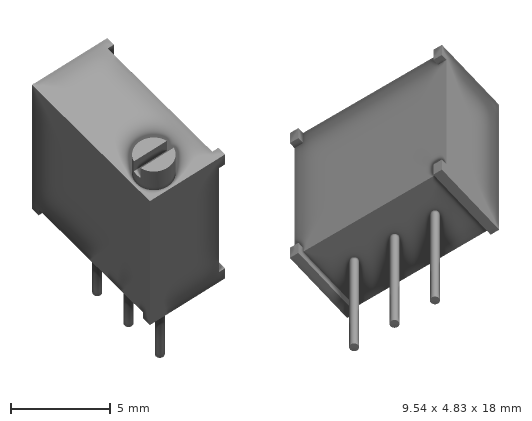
import cadquery as cq

width = 9.54
depth = 4.83
total_height = 17.96
pin_length = 6.43
screw_height = 1.5
housing_height = total_height - pin_length - screw_height
housing_top = total_height - screw_height

standoff_width = 0.54
foot_height = 0.48
pad_depth = 0.4
pad_height = 0.8

screw_diameter = 2.2
screw_x = 3.48
screw_front_distance = 1.28
screw_y = screw_front_distance - depth / 2
slot_width = 0.55
slot_depth = 0.79

pin_diameter = 0.5
pin_pitch = 2.53

recess_width = width - 2 * standoff_width


def block(size_x, size_y, size_z, center_y, bottom_z):
    """Box centred on X, placed by its middle in Y and its underside in Z."""
    return (
        cq.Workplane("XY")
        .box(size_x, size_y, size_z, centered=(True, True, False))
        .translate((0, center_y, bottom_z))
    )


def make_housing():
    """Box with two feet below and four corner pads at the rear."""
    housing = block(width, depth, housing_height, 0, pin_length)
    underside_recess = block(recess_width, depth, foot_height, 0, pin_length)
    rear_y = (depth - pad_depth) / 2
    rear_upright = block(recess_width, pad_depth, housing_height, rear_y, pin_length)
    rear_crosswise = block(
        width, pad_depth, housing_height - 2 * pad_height, rear_y, pin_length + pad_height
    )
    return housing.cut(underside_recess).cut(rear_upright).cut(rear_crosswise)


def make_screw():
    """Round screw head with a driver slot running along Y."""
    head = cq.Workplane("XY").circle(screw_diameter / 2).extrude(screw_height)
    slot = block(slot_width, screw_diameter, slot_depth, 0, screw_height - slot_depth)
    return head.cut(slot).translate((screw_x, screw_y, housing_top))


def make_pins():
    """Row of three round pins reaching up to the recessed underside."""
    return (
        cq.Workplane("XY")
        .rarray(pin_pitch, 0.18, 3, 1)
        .circle(pin_diameter / 2)
        .extrude(pin_length + foot_height)
    )


result = make_housing().union(make_screw()).union(make_pins())